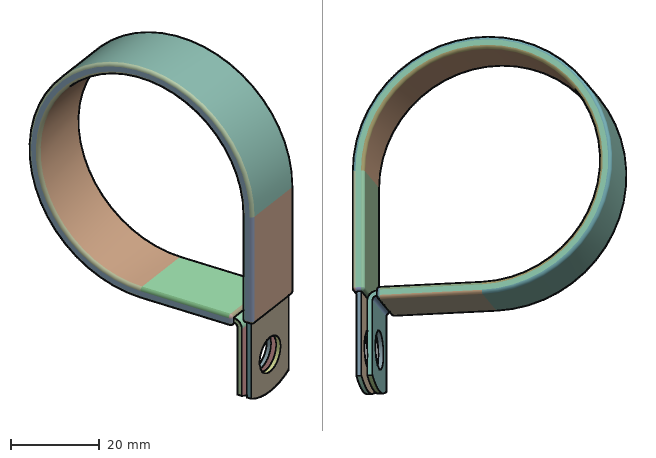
import cadquery as cq


outer_diameter = 59.6
cushion_width = 17.45
cushion_thickness = 2.85
edge_radius = 0.8
side_leg_length = 27.8
bottom_leg_length = 24.2

strap_thickness = 1.2
strap_width = cushion_width - 2 * edge_radius
bend_radius = 1.0
strap_overlap = 3.95

overall_height = 78.9
hole_diameter = 8.8
hole_above_tip = 9.55
tip_sagitta = 1.8

outer_radius = outer_diameter / 2
inner_radius = outer_radius - cushion_thickness
strap_inset = (cushion_thickness - strap_thickness) / 2
strap_outer = outer_radius - strap_inset
strap_inner = strap_outer - strap_thickness
outer_bend_radius = bend_radius + strap_thickness
bent_flange_outer = bottom_leg_length + outer_bend_radius
bent_flange_inner = bent_flange_outer - strap_thickness
bend_end_z = -strap_inner - outer_bend_radius
tip_z = outer_radius - overall_height


def extrude_centered(profile, width):
    """Extrude an XZ profile symmetrically about Y = 0."""
    return profile.extrude(width / 2, both=True)


def make_cushion():
    """Three-quarter loop with two tangent legs and rounded edges."""
    diagonal = 0.5 ** 0.5
    profile = (
        cq.Workplane("XZ")
        .moveTo(outer_radius, -side_leg_length)
        .lineTo(outer_radius, 0)
        .threePointArc((-outer_radius * diagonal, outer_radius * diagonal), (0, -outer_radius))
        .lineTo(bottom_leg_length, -outer_radius)
        .lineTo(bottom_leg_length, -inner_radius)
        .lineTo(0, -inner_radius)
        .threePointArc((-inner_radius * diagonal, inner_radius * diagonal), (inner_radius, 0))
        .lineTo(inner_radius, -side_leg_length)
        .close()
    )
    body = extrude_centered(profile, cushion_width)
    side_rims = body.faces("|Y").edges()
    end_rims = body.edges("|Y").edges(
        cq.selectors.BoxSelector(
            (inner_radius - edge_radius, -cushion_width, -side_leg_length - edge_radius),
            (outer_radius + edge_radius, cushion_width, -side_leg_length + edge_radius),
        )
        + cq.selectors.BoxSelector(
            (bottom_leg_length - edge_radius, -cushion_width, -outer_radius - edge_radius),
            (bottom_leg_length + edge_radius, cushion_width, -inner_radius + edge_radius),
        )
    )
    return body.newObject(side_rims.vals() + end_rims.vals()).fillet(edge_radius)


def make_straight_flange():
    """Strap continuing straight down from the side leg."""
    top_z = strap_overlap - side_leg_length
    profile = (
        cq.Workplane("XZ")
        .moveTo(strap_inner, tip_z)
        .lineTo(strap_outer, tip_z)
        .lineTo(strap_outer, top_z)
        .lineTo(strap_inner, top_z)
        .close()
    )
    return extrude_centered(profile, strap_width)


def make_bent_flange():
    """Strap leaving the bottom leg and bending down beside the other flange."""
    start_x = bottom_leg_length - strap_overlap
    profile = (
        cq.Workplane("XZ")
        .moveTo(start_x, -strap_inner)
        .lineTo(bottom_leg_length, -strap_inner)
        .radiusArc((bent_flange_outer, bend_end_z), outer_bend_radius)
        .lineTo(bent_flange_outer, tip_z)
        .lineTo(bent_flange_inner, tip_z)
        .lineTo(bent_flange_inner, bend_end_z)
        .radiusArc((bottom_leg_length, -strap_outer), -bend_radius)
        .lineTo(start_x, -strap_outer)
        .close()
    )
    return extrude_centered(profile, strap_width)


def make_flange_outline():
    """Solid along X with the rounded tip and bolt hole shared by both flanges."""
    half_width = strap_width / 2
    corner_z = tip_z + tip_sagitta
    return (
        cq.Workplane("YZ")
        .moveTo(-half_width, 0)
        .lineTo(-half_width, corner_z)
        .threePointArc((0, tip_z), (half_width, corner_z))
        .lineTo(half_width, 0)
        .close()
        .moveTo(0, tip_z + hole_above_tip)
        .circle(hole_diameter / 2)
        .extrude(outer_radius)
    )


flanges = make_straight_flange().union(make_bent_flange()).intersect(make_flange_outline())
result = make_cushion().union(flanges)